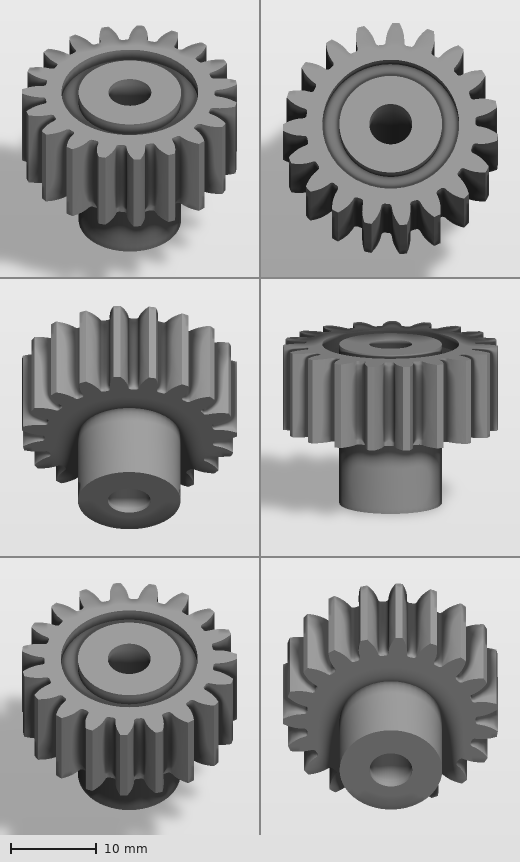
import cadquery as cq
import math

tooth_count = 19
pressure_angle = math.radians(20)
addendum_factor = 1.0
dedendum_factor = 1.25
overall_width = 25.17
first_tooth_angle = -math.pi / 2
involute_points = 5
root_tooth_thickness = 2.16
root_fillet = 0.38

gear_height = 10.0
hub_height = 9.0
hub_diameter = 12.0
bore_diameter = 5.0
recess_diameter = 16.0
recess_depth = 1.5

total_height = hub_height + gear_height
tooth_pitch = 2 * math.pi / tooth_count


def involute(angle):
    return math.tan(angle) - angle


def half_tooth_angle(radius_ratio):
    """Half the angle filled by a tooth where the radius is radius_ratio times the base radius."""
    local_pressure_angle = math.acos(1 / radius_ratio)
    return tooth_pitch / 4 + involute(pressure_angle) - involute(local_pressure_angle)


tip_to_pitch = 1 + 2 * addendum_factor / tooth_count
half_tip_angle = half_tooth_angle(tip_to_pitch / math.cos(pressure_angle))
widest_tooth_angle = first_tooth_angle + round(tooth_count / 4) * tooth_pitch
widest_corner_angle = abs(widest_tooth_angle) - half_tip_angle
tip_radius = overall_width / 2 / math.cos(widest_corner_angle)

pitch_radius = tip_radius / tip_to_pitch
module = 2 * pitch_radius / tooth_count
base_radius = pitch_radius * math.cos(pressure_angle)
root_radius = pitch_radius - dedendum_factor * module
half_root_angle = math.asin(root_tooth_thickness / 2 / root_radius)


def polar(radius, angle):
    return (radius * math.cos(angle), radius * math.sin(angle))


def flank(tooth_angle, side):
    """Points from the root circle along the involute to the tip; side is -1 or +1."""
    points = [polar(root_radius, tooth_angle + side * half_root_angle)]
    for i in range(1, involute_points + 1):
        radius = base_radius + (tip_radius - base_radius) * i / involute_points
        points.append(polar(radius, tooth_angle + side * half_tooth_angle(radius / base_radius)))
    return points


def make_gear_blank():
    """Toothed rim: involute flanks carried down to the root, joined by tip and root arcs."""
    outline = cq.Workplane("XY", origin=(0, 0, hub_height))
    outline = outline.moveTo(*polar(root_radius, first_tooth_angle - half_root_angle))
    for i in range(tooth_count):
        angle = first_tooth_angle + i * tooth_pitch
        rising = flank(angle, -1)
        falling = flank(angle, 1)[::-1]
        gap_middle = polar(root_radius, angle + tooth_pitch / 2)
        next_root = polar(root_radius, angle + tooth_pitch - half_root_angle)
        outline = (
            outline.spline(rising[1:], includeCurrent=True)
            .threePointArc(polar(tip_radius, angle), falling[0])
            .spline(falling[1:], includeCurrent=True)
            .threePointArc(gap_middle, next_root)
        )
    return outline.close().extrude(gear_height)


def round_roots(gear):
    """Fillet the corners where the tooth flanks meet the root circle."""
    corner_limit = (root_radius + base_radius) / 2

    def is_root_corner(edge):
        center = edge.Center()
        return math.hypot(center.x, center.y) < corner_limit

    return gear.edges("|Z").filter(is_root_corner).fillet(root_fillet)


def make_recess():
    """Ring-shaped recess in the top face, around the hub."""
    return (
        cq.Workplane("XY", origin=(0, 0, total_height - recess_depth))
        .circle(recess_diameter / 2)
        .circle(hub_diameter / 2)
        .extrude(recess_depth)
    )


gear = round_roots(make_gear_blank())
hub = cq.Workplane("XY").circle(hub_diameter / 2).extrude(total_height)
bore = cq.Workplane("XY").circle(bore_diameter / 2).extrude(total_height)

result = gear.cut(make_recess()).union(hub).cut(bore)